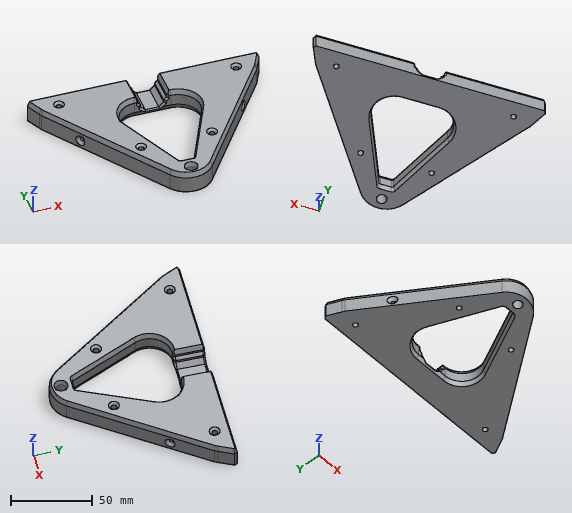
import cadquery as cq
import math

width = 150.3
length = 100.1
thickness = 14.5
half_width = width / 2
back_y = length / 2
tip_y = -length / 2
tip_radius = 16.8
tip_center = (0, tip_y + tip_radius)

rim_inset = 1.4
rim_height = 3.5
rim_taper = math.degrees(math.atan2(rim_inset, rim_height))
wall_top = thickness - rim_height

back_corner = (half_width - 1.2, back_y)
ear_corner = (half_width, back_y - 2.0)
ear_end = (half_width - 4.5, back_y - 11.5)
flank_start = (half_width - 5.4, back_y - 13.2)

opening_back_y = 30.0
opening_front_y = -35.0
opening_radius = 14.3
opening_arc_center = (11.7, opening_back_y - opening_radius)
opening_front_half_width = 4.4
opening_front_fillet = 1.2

notch_top_half_width = 11.0
notch_upper_half_width = 9.3
notch_lower_half_width = 7.5
notch_floor_half_width = 4.4
notch_floor_z = 2.9
upper_step_z = 9.5
notch_chamfer = rim_inset
notch_clearance = 1.5

screw_diameter = 3.5
screw_sink_diameter = 6.6
screw_sink_depth = (screw_sink_diameter - screw_diameter) / 2
screw_places = [(57.5, 39.8), (23.0, -15.3)]
tip_hole_diameter = 6.5
tip_sink_diameter = 8.4
tip_sink_depth = 3.2
tip_hole_y = -43.1
side_hole_diameter = 2.5
side_sink_diameter = 6.8
side_sink_depth = (side_sink_diameter - side_hole_diameter) / 2
side_hole_depth = 15.0
side_hole_y = 12.8
side_hole_z = 5.3


def mirrored(point):
    return (-point[0], point[1])


def point_on_circle(center, radius, angle):
    return (center[0] + radius * math.cos(angle), center[1] + radius * math.sin(angle))


def tangent_angle(start, center, radius, turn):
    """Angle on a circle where a line from start touches it; turn (+1 or -1) picks the touch point."""
    dx = start[0] - center[0]
    dy = start[1] - center[1]
    return math.atan2(dy, dx) + turn * math.acos(radius / math.hypot(dx, dy))


flank_end = point_on_circle(tip_center, tip_radius, tangent_angle(flank_start, tip_center, tip_radius, -1))


def tapered_prism(outline, start_z, height, taper):
    """Prism on a closed outline moved up to start_z; a negative height extrudes it downward."""
    moved = outline.moved(cq.Location(cq.Vector(0, 0, start_z)))
    return cq.Workplane("XY").add(moved).toPending().extrude(height, taper=taper)


def make_plate():
    right_side = [back_corner, ear_corner, ear_end, flank_start, flank_end]
    left_side = [mirrored(point) for point in reversed(right_side)]
    outline = (
        cq.Workplane("XY")
        .polyline(right_side)
        .threePointArc((0, tip_y), left_side[0])
        .polyline(left_side[1:], includeCurrent=True)
        .close()
        .val()
    )
    wall = tapered_prism(outline, 0, wall_top, 0)
    return wall.union(tapered_prism(outline, wall_top, rim_height, rim_taper))


def make_opening():
    """Straight-walled core that flares outward at the top and at the underside."""
    front_corner = (opening_front_half_width, opening_front_y)
    side_angle = tangent_angle(front_corner, opening_arc_center, opening_radius, 1)
    back_angle = math.pi / 2
    side_end, arc_middle, arc_end = [
        point_on_circle(opening_arc_center, opening_radius, angle)
        for angle in (side_angle, (side_angle + back_angle) / 2, back_angle)
    ]
    core = (
        cq.Workplane("XY")
        .moveTo(*front_corner)
        .lineTo(*side_end)
        .threePointArc(arc_middle, arc_end)
        .lineTo(*mirrored(arc_end))
        .threePointArc(mirrored(arc_middle), mirrored(side_end))
        .lineTo(*mirrored(front_corner))
        .close()
        .extrude(thickness)
        .edges("|Z and <Y")
        .fillet(opening_front_fillet)
    )
    outline = core.faces("<Z").wires().val()
    top_flare = tapered_prism(outline, wall_top, rim_height, -rim_taper)
    bottom_flare = tapered_prism(outline, rim_height, -rim_height, -rim_taper)
    return core.union(top_flare).union(bottom_flare)


def notch_profile(offset):
    """Closed notch section; every face below the steep slope is moved outward by offset."""
    steep_run = (notch_top_half_width - notch_upper_half_width) / rim_height
    corner_shift = offset * math.tan(math.pi / 8)
    lower_step_z = notch_floor_z + notch_lower_half_width - notch_floor_half_width
    lower_slope_top = upper_step_z - notch_upper_half_width + notch_lower_half_width
    side = [
        (notch_top_half_width + notch_clearance * steep_run, thickness + notch_clearance),
        (notch_upper_half_width + offset, wall_top + offset / steep_run),
        (notch_upper_half_width + offset, upper_step_z - corner_shift),
        (notch_lower_half_width + offset, lower_slope_top - corner_shift),
        (notch_lower_half_width + offset, lower_step_z - corner_shift),
        (notch_floor_half_width + corner_shift, notch_floor_z - offset),
    ]
    return side + [mirrored(point) for point in reversed(side)]


def make_notch():
    def section(y, offset):
        points = [cq.Vector(x, y, z) for x, z in notch_profile(offset)]
        return cq.Wire.makePolygon(points, close=True)

    front_y = opening_back_y
    inner_front_y = front_y + notch_chamfer
    inner_back_y = back_y - notch_chamfer
    spans = [
        (section(front_y, notch_chamfer), section(inner_front_y, 0)),
        (section(inner_front_y, 0), section(inner_back_y, 0)),
        (section(inner_back_y, 0), section(back_y, notch_chamfer)),
    ]
    notch = cq.Workplane("XY")
    for start, end in spans:
        notch = notch.union(cq.Workplane("XY").add(cq.Solid.makeLoft([start, end], True)))
    return notch


def make_hole(diameter, sink_diameter, sink_depth, depth, mouth, direction):
    """Round hole with a conical sink, running from its mouth along direction."""
    start = cq.Vector(*mouth)
    axis = cq.Vector(*direction)
    bore = cq.Solid.makeCylinder(diameter / 2, depth, start, axis)
    sink = cq.Solid.makeCone(sink_diameter / 2, diameter / 2, sink_depth, start, axis)
    return bore.fuse(sink)


def make_top_hole(diameter, sink_diameter, sink_depth, x, y):
    return make_hole(diameter, sink_diameter, sink_depth, thickness, (x, y, thickness), (0, 0, -1))


def make_side_hole(side):
    """Blind hole square to the long flank; side is +1 or -1 along X."""
    flank_run = flank_start[0] - flank_end[0]
    flank_rise = flank_start[1] - flank_end[1]
    mouth_x = flank_end[0] + (side_hole_y - flank_end[1]) * flank_run / flank_rise
    mouth = (side * mouth_x, side_hole_y, side_hole_z)
    inward = (-side * flank_rise, flank_run, 0)
    return make_hole(
        side_hole_diameter, side_sink_diameter, side_sink_depth, side_hole_depth, mouth, inward
    )


result = make_plate().cut(make_opening()).cut(make_notch())
result = result.cut(make_top_hole(tip_hole_diameter, tip_sink_diameter, tip_sink_depth, 0, tip_hole_y))
for side in (1, -1):
    result = result.cut(make_side_hole(side))
    for x, y in screw_places:
        result = result.cut(
            make_top_hole(screw_diameter, screw_sink_diameter, screw_sink_depth, side * x, y)
        )